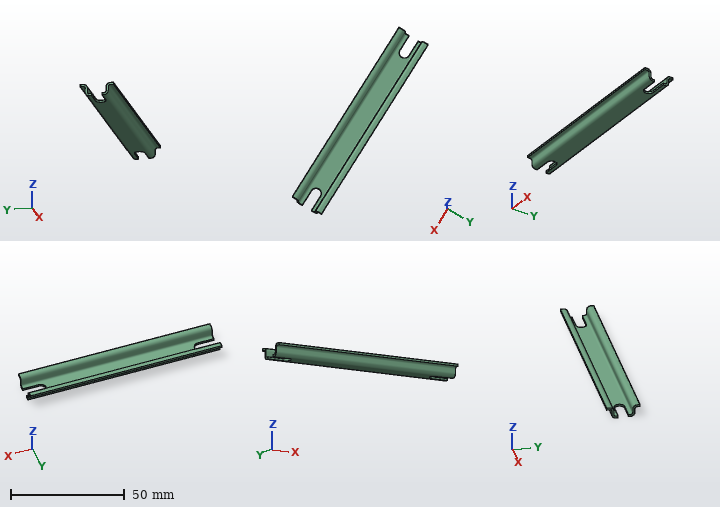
import cadquery as cq

length = 90.0
width = 15.0
height = 5.5

thickness = 1.0
inner_bend = 0.9
outer_bend = inner_bend + thickness
channel_width = 8.5

slot_width = 4.7
slot_depth = 10.0


def block(block_width, z_bottom, z_top):
    """Full-length bar centred across Y between two heights."""
    bar = cq.Workplane("XY").box(length, block_width, z_top - z_bottom)
    return bar.translate((0, 0, (z_bottom + z_top) / 2))


def rail():
    """Solid hat shape with a channel cut, rounded at the bends."""
    bottom = -height / 2
    top = height / 2
    outer_width = channel_width + 2 * thickness

    trough = block(outer_width, bottom, top).edges("|X and <Z").fillet(outer_bend)
    flanges = block(width, top - thickness, top)
    hat = trough.union(flanges)
    under_flange = cq.selectors.BoxSelector(
        (-length, -width / 2 + thickness, top - 1.5 * thickness),
        (length, width / 2 - thickness, top - 0.5 * thickness),
    )
    hat = hat.edges("|X").edges(under_flange).fillet(inner_bend)

    channel = block(channel_width, bottom + thickness, top).edges("|X and <Z").fillet(inner_bend)
    hat = hat.cut(channel)
    mouth = cq.selectors.BoxSelector(
        (-length, -outer_width / 2, top - thickness / 2),
        (length, outer_width / 2, top + thickness / 2),
    )
    return hat.edges("|X").edges(mouth).fillet(outer_bend)


def end_slot(side):
    """Round-ended slot open at the rail end on the given side of X."""
    return (
        cq.Workplane("XY")
        .center(side * length / 2, 0)
        .slot2D(2 * slot_depth, slot_width)
        .extrude(height, both=True)
    )


result = rail()
for side in (-1, 1):
    result = result.cut(end_slot(side))